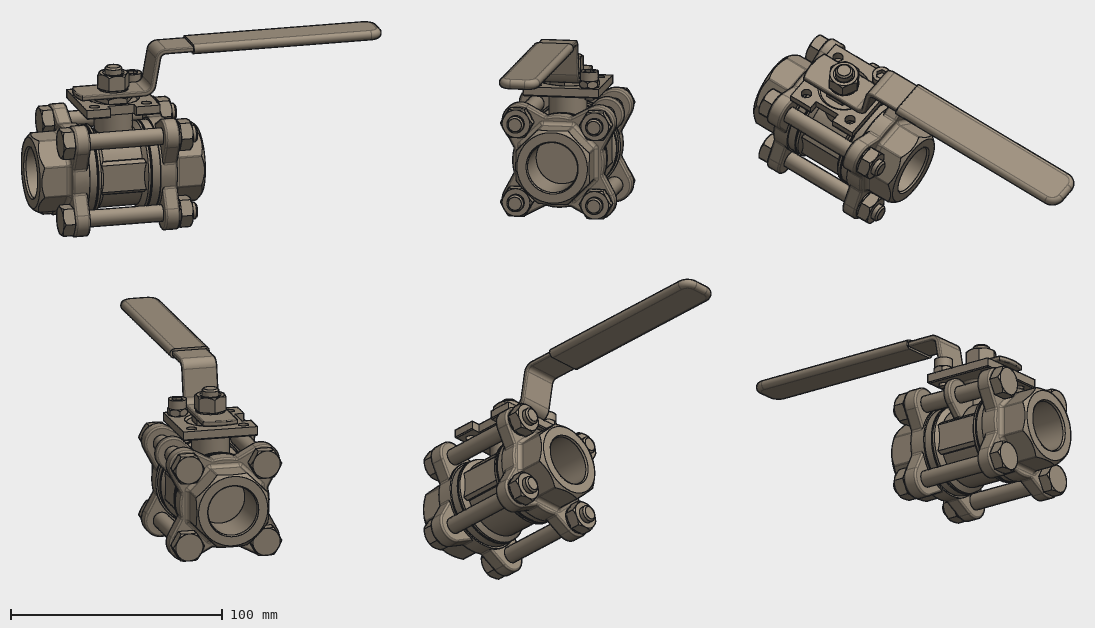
import cadquery as cq
import math


cap_end = 40.5
flange_outer = 25.5
flange_thickness = 7.2
disc_inner = 17.4
disc_dia = 44.0
flange_fillet = 0.9
bolt_offset = 19.0
lobe_radius = 54.0 / 2 - bolt_offset
arm_flare = math.radians(17)
arm_foot = 19.1
arm_root_fillet = 1.5
octagon_flats = 35.3
octagon_edge_fillet = 0.9
octagon_root_fillet = 1.9
end_face_dia = 34.0
end_chamfer_slope = math.radians(45)
bore_dia = 24.0
bore_chamfer = 0.5
bore_chamfer_depth = 1.0
bore_depth = cap_end - disc_inner

body_dia = 37.5
body_ring_dia = 42.3
body_ring_face = 12.8
body_cone_start = 9.5
body_cone_end = 11.6
joint_dia = 40.5
joint_width = 0.7
pad_flats = 38.5
pad_height = 16.2
pad_chamfer = 1.5
lug_thickness = 3.8
lug_fillet = 0.9

bolt_dia = 8.0
hex_flats = 13.3
hex_chamfer_drop = 0.9
head_height = 5.6
nut_face = 0.9
nut_height = 5.8
bolt_tip = 35.3
tip_chamfer = 0.9

neck_dia = 18.0
neck_fillet = 1.0
plate_bottom = 29.7
plate_top = 34.1
plate_width = 36.3
plate_length = 36.0
plate_edge_chamfer = 0.5
plate_hole_dia = 4.8
plate_hole_offset = 36.0 / 2 / math.sqrt(2)
notch_depth = 4.5
notch_width = 12.6
recess_dia = 24.5
recess_depth = 1.0
gland_flats = 15.7
stem_dia = 8.0
stem_top = 49.5
stem_nut_top = 46.4
stem_nut_mouth_dia = 10.0
stem_washer_dia = 14.0
stem_washer_height = 0.7

screw_dia = 8.5
screw_nut_height = 3.4
screw_top = 41.8
screw_tip_dia = 4.1
screw_tip_bottom = 28.1
socket_flats = 4.6
socket_depth = 2.5

lever_width = 16.9
lever_thickness = 2.4
lever_bottom = 36.0
lever_nose = 19.1
lever_nose_radius = 23.5
lever_edge_fillet = 0.5
low_bend_start = 13.0
low_bend_radius = 4.6
high_bend_end = 23.5
high_bend_radius = 3.8
lever_end = 124.5
grip_start = 37.0
grip_end = 170.5 - cap_end
grip_width = 19.3
grip_thickness = 4.6
grip_corner_radius = 6.1
grip_middle = 57.1

lever_top = lever_bottom + lever_thickness
arm_length = bolt_offset * math.sqrt(2)


def front_disc(diameter, start, stop):
    """Cylinder on the flow axis, from y = -start to y = -stop."""
    return cq.Workplane("XZ", origin=(0, -start, 0)).circle(diameter / 2).extrude(stop - start)


def hexagon(flats, height):
    """Hexagonal prism along Z with corners on X and a conical chamfer around its top."""
    corners = flats / math.cos(math.radians(30))
    prism = cq.Workplane().polygon(6, corners).extrude(height)
    cone_rise = (corners - flats) / 2
    cone = cq.Workplane().circle(corners / 2).extrude(height).faces(">Z")
    cone = cone.chamfer(hex_chamfer_drop, cone_rise)
    return prism.intersect(cone)


def arm(start, stop, quadrant, flare):
    """Flared arm with a round lobe at a bolt, between y = -start and y = -stop."""
    tangent_x = arm_length + lobe_radius * math.sin(flare)
    tangent_y = lobe_radius * math.cos(flare)
    foot_y = tangent_y + (tangent_x - arm_foot) * math.tan(flare)
    outline = (
        cq.Workplane("XZ", origin=(0, -start, 0))
        .lineTo(arm_foot, -foot_y)
        .lineTo(tangent_x, -tangent_y)
        .threePointArc((arm_length + lobe_radius, 0), (tangent_x, tangent_y))
        .lineTo(arm_foot, foot_y)
        .close()
    )
    turn = -45 - 90 * quadrant
    return outline.extrude(stop - start).rotate((0, 0, 0), (0, 1, 0), turn)


def make_cap():
    """Front end cap: four-armed flange, octagonal wrench end and threaded bore."""
    inner = flange_outer - flange_thickness
    flange = front_disc(disc_dia, inner, flange_outer)
    for quadrant in range(4):
        flange = flange.union(arm(inner, flange_outer, quadrant, arm_flare))
    root = disc_dia / 2
    corner_zone = cq.selectors.BoxSelector((-root, -cap_end, -root), (root, 0, root))
    flange = flange.edges("|Y").edges(corner_zone).fillet(arm_root_fillet)
    flange = flange.faces("<Y or >Y").edges().fillet(flange_fillet)
    flange = flange.union(front_disc(disc_dia, disc_inner, inner + 2 * flange_fillet))

    corner_dia = octagon_flats / math.cos(math.radians(22.5))
    octagon = (
        cq.Workplane("XZ", origin=(0, -inner, 0))
        .transformed(rotate=(0, 0, 22.5))
        .polygon(8, corner_dia)
        .extrude(cap_end - inner)
        .edges("|Y")
        .fillet(octagon_edge_fillet)
    )
    rim = (corner_dia - end_face_dia) / 2
    envelope = front_disc(corner_dia, inner, cap_end).faces("<Y")
    envelope = envelope.chamfer(rim * math.tan(end_chamfer_slope), rim)
    cap = flange.union(octagon.intersect(envelope))

    reach = corner_dia / 2 + 0.2
    root_zone = cq.selectors.BoxSelector(
        (-reach, -flange_outer - 0.2, -reach), (reach, -flange_outer + 0.2, reach), boundingbox=True
    )
    cap = cap.edges(root_zone).fillet(octagon_root_fillet)
    bore = front_disc(bore_dia, cap_end - bore_depth, cap_end)
    mouth = cq.Solid.makeCone(
        bore_dia / 2 + bore_chamfer,
        bore_dia / 2,
        bore_chamfer_depth,
        cq.Vector(0, -cap_end, 0),
        cq.Vector(0, 1, 0),
    )
    return cap.cut(bore).cut(mouth)


def make_body():
    """Centre section: waisted barrel, joint rings, wrench pads and bolt lug."""
    waist, ring, joint = body_dia / 2, body_ring_dia / 2, joint_dia / 2
    joint_end = body_ring_face + joint_width
    half = (
        cq.Workplane("XY")
        .lineTo(waist, 0)
        .lineTo(waist, -body_cone_start)
        .lineTo(ring, -body_cone_end)
        .lineTo(ring, -body_ring_face)
        .lineTo(joint, -body_ring_face)
        .lineTo(joint, -joint_end)
        .lineTo(ring, -joint_end)
        .lineTo(ring, -disc_inner)
        .lineTo(0, -disc_inner)
        .close()
        .revolve(360, (0, 0, 0), (0, 1, 0))
    )
    pads = cq.Workplane().box(pad_flats, 2 * body_ring_face, pad_height)
    pads = pads.edges("|Y").chamfer(pad_chamfer)
    pads = pads.intersect(cq.Workplane("XZ").circle(ring).extrude(body_ring_face, both=True))
    lug = arm(-lug_thickness / 2, lug_thickness / 2, 1, 0)
    lug = lug.faces("<Y or >Y").edges("not(<X or >X)").fillet(lug_fillet)
    return half.union(half.mirror("XZ")).union(pads).union(lug)


def make_bolt():
    """Bolt with its head and nut, on the Z axis; z = 0 is level with the stem."""
    shank = cq.Workplane(origin=(0, 0, -bolt_tip)).circle(bolt_dia / 2).extrude(bolt_tip + flange_outer)
    shank = shank.faces("<Z").chamfer(tip_chamfer)
    head = hexagon(hex_flats, head_height).translate((0, 0, flange_outer))
    face = cq.Workplane(origin=(0, 0, flange_outer)).circle(hex_flats / 2).extrude(nut_face)
    nut = hexagon(hex_flats, nut_height).translate((0, 0, flange_outer + nut_face))
    return shank.union(head).union(face.union(nut).mirror("XY"))


def make_plate():
    """Neck and square mounting plate with its holes, side notch and round recess."""
    neck = cq.Workplane().circle(neck_dia / 2).extrude(plate_bottom)
    plate = (
        cq.Workplane(origin=(0, 0, plate_bottom))
        .rect(plate_width, plate_length)
        .extrude(plate_top - plate_bottom)
        .faces("<Z")
        .chamfer(plate_edge_chamfer)
    )
    plate = plate.union(neck)
    junction = cq.selectors.BoxSelector(
        (-neck_dia, -neck_dia, plate_bottom - 0.2), (neck_dia, neck_dia, plate_bottom + 0.2)
    )
    plate = plate.edges("%CIRCLE").edges(junction).fillet(neck_fillet)
    spacing = 2 * plate_hole_offset
    holes = (
        cq.Workplane(origin=(0, 0, plate_bottom))
        .rarray(spacing, spacing, 2, 2)
        .circle(plate_hole_dia / 2)
        .extrude(plate_top - plate_bottom)
    )
    notch = cq.Workplane().box(2 * notch_depth, notch_width, plate_top, centered=(True, True, False))
    notch = notch.translate((plate_width / 2, 0, plate_bottom - plate_edge_chamfer))
    recess = cq.Solid.makeCone(
        recess_dia / 2 - recess_depth, recess_dia / 2, recess_depth, cq.Vector(0, 0, plate_top - recess_depth)
    )
    return plate.cut(holes).cut(notch).cut(recess)


def make_stem():
    """Stem with its gland nut below the lever and its clamping nut above."""
    stem = cq.Workplane(origin=(0, 0, plate_bottom)).circle(stem_dia / 2).extrude(stem_top - plate_bottom)
    stem = stem.faces(">Z").chamfer(tip_chamfer)
    seat = plate_top - recess_depth
    gland = hexagon(gland_flats, lever_bottom - seat).rotate((0, 0, 0), (0, 0, 1), 90)
    washer = cq.Workplane(origin=(0, 0, lever_top)).circle(stem_washer_dia / 2).extrude(stem_washer_height)
    nut_seat = lever_top + stem_washer_height
    nut = hexagon(hex_flats, stem_nut_top - nut_seat).rotate((0, 0, 0), (0, 0, 1), 90)
    mouth_depth = (stem_nut_mouth_dia - stem_dia) / 2
    mouth = cq.Solid.makeCone(
        stem_dia / 2, stem_nut_mouth_dia / 2, mouth_depth, cq.Vector(0, 0, stem_nut_top - mouth_depth)
    )
    nut = nut.translate((0, 0, nut_seat)).cut(mouth)
    return nut.union(washer).union(gland.translate((0, 0, seat))).union(stem)


def make_stop_screw():
    """Socket screw and nut that fill one plate hole and limit the lever's swing."""
    half_nut = hexagon(screw_dia, screw_nut_height / 2).rotate((0, 0, 0), (0, 0, 1), 90)
    nut = half_nut.union(half_nut.mirror("XY")).translate((0, 0, screw_nut_height / 2))
    head_bottom = plate_top + screw_nut_height
    head = cq.Workplane(origin=(0, 0, head_bottom)).circle(screw_dia / 2).extrude(screw_top - head_bottom)
    socket = (
        cq.Workplane(origin=(0, 0, screw_top))
        .transformed(rotate=(0, 0, 90))
        .polygon(6, socket_flats / math.cos(math.radians(30)))
        .extrude(-socket_depth)
    )
    shank = cq.Workplane(origin=(0, 0, plate_bottom)).circle(plate_hole_dia / 2).extrude(plate_top - plate_bottom)
    tip = cq.Workplane(origin=(0, 0, screw_tip_bottom)).circle(screw_tip_dia / 2)
    tip = tip.extrude(plate_bottom - screw_tip_bottom)
    screw = nut.translate((0, 0, plate_top)).union(head).cut(socket).union(shank).union(tip)
    return screw.translate((-plate_hole_offset, plate_hole_offset, 0))


def make_valve():
    """The valve with its fasteners, as one solid."""
    cap = make_cap()
    valve = make_body().union(cap).union(cap.mirror("XZ"))
    bolt = make_bolt().rotate((0, 0, 0), (1, 0, 0), 90)
    for x in (-bolt_offset, bolt_offset):
        for z in (-bolt_offset, bolt_offset):
            valve = valve.union(bolt.translate((x, 0, z)))
    return valve.union(make_plate()).union(make_stem()).union(make_stop_screw())


def make_lever():
    """Flat strip bent up to the grip, with a hole for the stem and an arched nose."""
    low_z = lever_bottom + lever_thickness / 2
    low_centre = (low_bend_start, low_z + low_bend_radius)
    high_centre = (high_bend_end, grip_middle - high_bend_radius)
    run = high_centre[0] - low_centre[0]
    rise = high_centre[1] - low_centre[1]
    lean = math.atan2(run, rise) - math.asin((low_bend_radius + high_bend_radius) / math.hypot(run, rise))
    turn = math.pi / 2 - lean

    def low_point(angle):
        return (
            low_centre[0] + low_bend_radius * math.sin(angle),
            low_centre[1] - low_bend_radius * math.cos(angle),
        )

    def high_point(angle):
        return (
            high_centre[0] - high_bend_radius * math.sin(angle),
            high_centre[1] + high_bend_radius * math.cos(angle),
        )

    path = (
        cq.Workplane("YZ")
        .moveTo(-lever_nose, low_z)
        .lineTo(low_bend_start, low_z)
        .threePointArc(low_point(turn / 2), low_point(turn))
        .lineTo(*high_point(turn))
        .threePointArc(high_point(turn / 2), high_point(0))
        .lineTo(lever_end, grip_middle)
    )
    section = cq.Workplane("XZ", origin=(0, -lever_nose, low_z)).rect(lever_width, lever_thickness)
    strip = section.sweep(path)
    half_width = lever_width / 2
    nose_corner = lever_nose_radius - lever_nose - math.sqrt(lever_nose_radius**2 - half_width**2)
    plan = (
        cq.Workplane()
        .moveTo(-half_width, lever_end)
        .lineTo(-half_width, nose_corner)
        .threePointArc((0, -lever_nose), (half_width, nose_corner))
        .lineTo(half_width, lever_end)
        .close()
        .extrude(grip_middle + lever_thickness)
    )
    strip = strip.intersect(plan)
    strip = strip.edges("not (|X or |Z)").fillet(lever_edge_fillet)
    hole = cq.Workplane().circle(stem_dia / 2).extrude(stem_top)
    return strip.cut(hole)


def make_grip(lever):
    """Rounded sleeve that fits over the lever."""
    edge_radius = grip_thickness / 2
    rim_x = grip_width / 2 - edge_radius
    rim_end = grip_end - edge_radius
    bend = grip_corner_radius - edge_radius
    bend_inset = bend * (1 - math.sqrt(0.5))

    def rim():
        return (
            cq.Workplane(origin=(0, 0, grip_middle))
            .moveTo(-rim_x, grip_start)
            .lineTo(-rim_x, rim_end - bend)
            .threePointArc((bend_inset - rim_x, rim_end - bend_inset), (bend - rim_x, rim_end))
            .lineTo(rim_x - bend, rim_end)
            .threePointArc((rim_x - bend_inset, rim_end - bend_inset), (rim_x, rim_end - bend))
            .lineTo(rim_x, grip_start)
        )

    core = rim().close().extrude(edge_radius, both=True)
    edge_circle = cq.Workplane("XZ", origin=(-rim_x, grip_start, grip_middle)).circle(edge_radius)
    return core.union(edge_circle.sweep(rim().wire())).cut(lever)


valve = make_valve()
lever = make_lever()
grip = make_grip(lever)
result = cq.Compound.makeCompound([valve.val(), lever.val(), grip.val()])